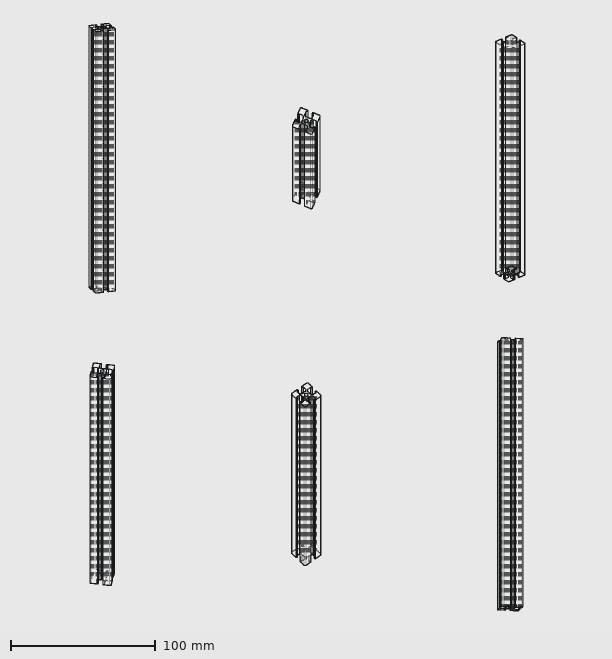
import cadquery as cq
import math

SIDE = 15.0
LENGTH = 190.0
CORNER_RADIUS = 1.0

SLOT_OPENING = 3.3
SLOT_INNER_WIDTH = 5.6
LIP_THICKNESS = 1.05
LIP_EDGE_CHAMFER = 0.3
CORE_WIDTH = 5.6

WEB_THICKNESS = 1.3

GROOVE_WIDTH = 0.9
GROOVE_DEPTH = 0.25

BORE_DIAMETER = 2.5

SLOT_COUNT = 4
FULL_TURN = 360


def square_bar():
    """Plain bar standing on Z = 0 with rounded long edges."""
    bar = cq.Workplane("XY").rect(SIDE, SIDE).extrude(LENGTH)
    return bar.edges("|Z").fillet(CORNER_RADIUS)


def t_slot():
    """Full-length cutter for the slot that opens toward +Y."""
    face = SIDE / 2
    lip_underside = face - LIP_THICKNESS
    floor = CORE_WIDTH / 2
    half_opening = SLOT_OPENING / 2
    half_inner = SLOT_INNER_WIDTH / 2
    half_floor = floor - WEB_THICKNESS / math.sqrt(2)
    flank_top = floor + half_inner - half_floor
    right_side = [
        (half_opening + LIP_EDGE_CHAMFER, face),
        (half_opening, face - LIP_EDGE_CHAMFER),
        (half_opening, lip_underside),
        (half_inner, lip_underside),
        (half_inner, flank_top),
        (half_floor, floor),
        (GROOVE_WIDTH / 2, floor),
    ]
    groove_bottom = (0, floor - GROOVE_DEPTH)
    left_side = [(-x, y) for x, y in reversed(right_side)]
    outline = right_side + [groove_bottom] + left_side
    return cq.Workplane("XY").polyline(outline).close().extrude(LENGTH)


def center_bore():
    """Full-length cutter for the round hole on the bar's axis."""
    return cq.Workplane("XY").circle(BORE_DIAMETER / 2).extrude(LENGTH)


result = square_bar().cut(center_bore())
for index in range(SLOT_COUNT):
    angle = FULL_TURN / SLOT_COUNT * index
    result = result.cut(t_slot().rotate((0, 0, 0), (0, 0, 1), angle))